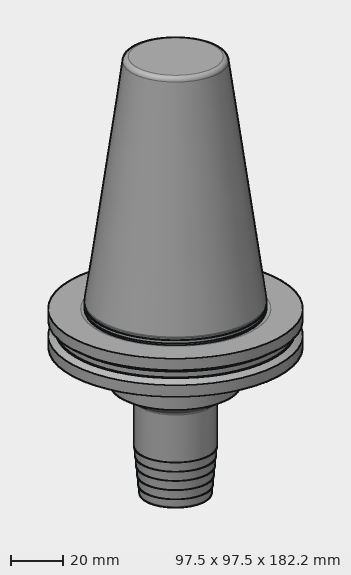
import cadquery as cq
import math


gauge_radius = 69.85 / 2
taper_length = 101.75
taper_ratio = 7 / 24
shank_end_radius = gauge_radius - taper_length * taper_ratio / 2
shank_end_fillet = 2.2

collar_radius = 35.0
gauge_land_height = 0.4
collar_top_z = -1.5
collar_bottom_z = -2.75

undercut_angle = 15.0
undercut_outer_radius = 36.4

flange_radius = 97.5 / 2
flange_top_z = -3.2
flange_bottom_z = -19.1
groove_center_z = -11.1
groove_floor_radius = 45.7
groove_mouth_height = 6.3
groove_flank_angle = 30.0
groove_floor_fillet = 0.4

tip_z = -80.5
neck_radius = 25.0
neck_bottom_z = -34.7
nose_radius = 16.0
shoulder_angle = 30.0
shoulder_fillet = 1.2
tip_length = 20.0
tip_end_radius = 14.0
tip_fillet = 1.0
band_count = 5
band_step = 0.25


def revolve_profile(points):
    """Revolve a closed (radius, z) outline once around the Z axis."""
    return cq.Workplane("XZ").polyline(points).close().revolve(360, (0, 0, 0), (0, 1, 0))


def circle_edge(radius, z):
    """Selector for the full circle of a given radius at a given height."""
    reach = 0.05
    return cq.selectors.BoxSelector(
        (-radius - reach, -radius - reach, z - reach),
        (radius + reach, radius + reach, z + reach),
        boundingbox=True,
    )


def make_shank():
    shank = revolve_profile([
        (0, 0),
        (gauge_radius, 0),
        (shank_end_radius, taper_length),
        (0, taper_length),
    ])
    return shank.faces(">Z").edges().fillet(shank_end_fillet)


def make_flange():
    slope = math.tan(math.radians(undercut_angle))
    relief_radius = gauge_radius + (collar_top_z + gauge_land_height) * slope
    undercut_depth = (undercut_outer_radius - relief_radius) * slope
    body = revolve_profile([
        (0, flange_bottom_z),
        (flange_radius, flange_bottom_z),
        (flange_radius, flange_top_z),
        (undercut_outer_radius, flange_top_z),
        (relief_radius, flange_top_z - undercut_depth),
        (collar_radius, collar_bottom_z),
        (collar_radius, collar_top_z),
        (relief_radius, collar_top_z),
        (gauge_radius, -gauge_land_height),
        (gauge_radius, 0),
        (0, 0),
    ])
    return body.cut(make_groove())


def make_groove():
    flank_height = (flange_radius - groove_floor_radius) * math.tan(math.radians(groove_flank_angle))
    mouth = groove_mouth_height / 2
    floor = mouth - flank_height
    ring = revolve_profile([
        (groove_floor_radius, groove_center_z - floor),
        (flange_radius, groove_center_z - mouth),
        (flange_radius, groove_center_z + mouth),
        (groove_floor_radius, groove_center_z + floor),
    ])
    for side in (-1, 1):
        corner = circle_edge(groove_floor_radius, groove_center_z + side * floor)
        ring = ring.edges(corner).fillet(groove_floor_fillet)
    return ring


def make_front_end():
    shoulder_height = (neck_radius - nose_radius) * math.tan(math.radians(shoulder_angle))
    shoulder_bottom_z = neck_bottom_z - shoulder_height
    band_length = tip_length / band_count
    band_drop = (nose_radius - tip_end_radius) / band_count
    tip_outline = [(nose_radius, tip_z + tip_length)]
    for i in range(band_count):
        top_radius = nose_radius - i * band_drop - band_step
        top_z = tip_z + tip_length - i * band_length
        tip_outline.append((top_radius, top_z))
        tip_outline.append((nose_radius - (i + 1) * band_drop, top_z - band_length))
    body = revolve_profile([
        (0, flange_bottom_z),
        (neck_radius, flange_bottom_z),
        (neck_radius, neck_bottom_z),
        (nose_radius, shoulder_bottom_z),
        *tip_outline,
        (0, tip_z),
    ])
    body = body.edges(circle_edge(nose_radius, shoulder_bottom_z)).fillet(shoulder_fillet)
    return body.faces("<Z").edges().fillet(tip_fillet)


result = make_shank().union(make_flange()).union(make_front_end())